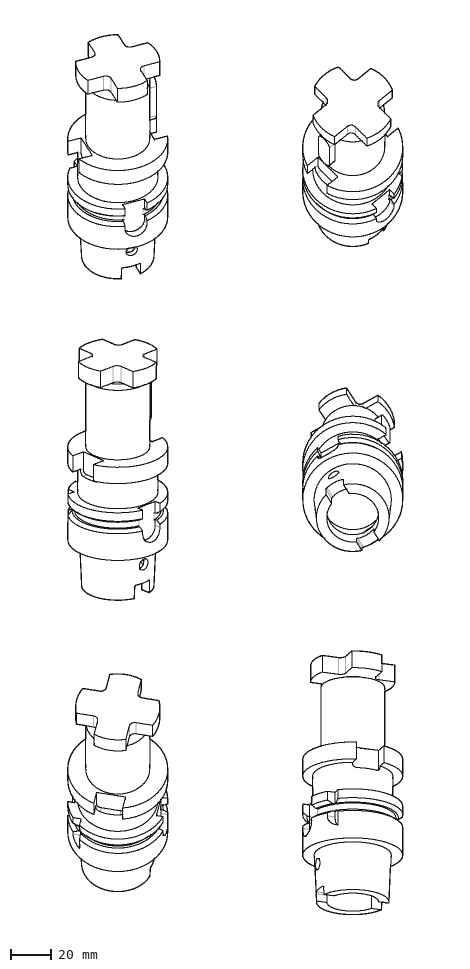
import cadquery as cq

total_height = 126.0
flange_radius = 50.0 / 2

flange_bottom = 25.0
flange_top = 51.0
collar_bottom = 67.0
collar_top = 76.0
pilot_top = 114.0
head_bottom = 117.0

shank_bottom_radius = 18.1
shank_top_radius = 19.3
body_radius = 20.0
pilot_radius = 16.0
neck_radius = 8.5
head_radius = 21.0

bore_radius = 13.0
undercut_radius = 16.0
undercut_bottom = 10.1

groove_radius = 21.5
groove_lip_radius = 22.8
groove_upper_rim = 4.7
groove_upper_lip = 6.2
groove_lower_lip = 10.0
groove_lower_rim = 11.5

flange_slot_width = 11.8
flange_slot_depth = 19.0
drive_slot_floor = 20.9
notch_offset = 15.5

collar_slot_width = 14.7
collar_slot_floor = 16.8
collar_slot_depth = 11.7
collar_slot_corner = 2.3

keyway_width = 10.2
keyway_corner = 0.8
shallow_keyway_height = 4.5
deep_keyway_height = 7.3

cross_hole_height = 17.6
cross_hole_diameter = 5.9

key_width = 8.1
key_bottom = 83.9
key_top = 111.0
key_outer_face = 19.3

head_arm_width = 16.1
head_inner_fillet = 2.8

clearance = 1.3
cut_reach = flange_radius + clearance


def turned_body():
    """Revolved outline from the shank up to the neck under the head."""
    outline = [
        (0, 0),
        (shank_bottom_radius, 0),
        (shank_top_radius, flange_bottom),
        (flange_radius, flange_bottom),
        (flange_radius, flange_top - groove_lower_rim),
        (groove_lip_radius, flange_top - groove_lower_lip),
        (groove_radius, flange_top - groove_lower_lip),
        (groove_radius, flange_top - groove_upper_lip),
        (groove_lip_radius, flange_top - groove_upper_lip),
        (flange_radius, flange_top - groove_upper_rim),
        (flange_radius, flange_top),
        (body_radius, flange_top),
        (body_radius, collar_bottom),
        (flange_radius, collar_bottom),
        (flange_radius, collar_top),
        (pilot_radius, collar_top),
        (pilot_radius, pilot_top),
        (neck_radius, pilot_top),
        (neck_radius, head_bottom),
        (0, head_bottom),
    ]
    return cq.Workplane("XZ").polyline(outline).close().revolve(360, (0, 0, 0), (0, 1, 0))


def cross_head():
    """Four-armed head: two crossed bars trimmed to a disc."""
    thickness = total_height - head_bottom
    base = cq.Workplane("XY").workplane(offset=head_bottom)
    length = 2 * cut_reach
    bars = base.rect(length, head_arm_width).extrude(thickness)
    bars = bars.union(base.rect(head_arm_width, length).extrude(thickness))
    corner_limit = head_arm_width / 2 + clearance
    around_corners = cq.selectors.BoxSelector(
        (-corner_limit, -corner_limit, head_bottom),
        (corner_limit, corner_limit, total_height),
    )
    bars = bars.edges("|Z").edges(around_corners).fillet(head_inner_fillet)
    return bars.intersect(base.circle(head_radius).extrude(thickness))


def feather_key():
    """Round-ended key standing out of the pilot toward +Y."""
    length = key_top - key_bottom
    return (
        cq.Workplane("XZ", origin=(0, 0, (key_top + key_bottom) / 2))
        .slot2D(length, key_width, 90)
        .extrude(-key_outer_face)
    )


def shank_cavity():
    """Entry bore with the wider undercut above it, both ending at the flange."""
    bore = cq.Workplane("XY").circle(bore_radius).extrude(flange_bottom)
    undercut = (
        cq.Workplane("XY", origin=(0, 0, undercut_bottom))
        .circle(undercut_radius)
        .extrude(flange_bottom - undercut_bottom)
    )
    return bore.union(undercut)


def cross_hole():
    """Hole along X through both walls of the shank."""
    return (
        cq.Workplane("YZ", origin=(-cut_reach, 0, cross_hole_height))
        .circle(cross_hole_diameter / 2)
        .extrude(2 * cut_reach)
    )


def flange_slot(floor, center_y):
    """Round-ended slot open toward -X and the flange top, ending at x = -floor."""
    half_width = flange_slot_width / 2
    bottom = flange_top - flange_slot_depth
    return (
        cq.Workplane("YZ", origin=(-cut_reach, center_y, 0))
        .moveTo(-half_width, flange_top)
        .lineTo(-half_width, bottom + half_width)
        .threePointArc((0, bottom), (half_width, bottom + half_width))
        .lineTo(half_width, flange_top)
        .close()
        .extrude(cut_reach - floor)
    )


def collar_slot():
    """Slot through the collar on the -Y side, running a little into the body."""
    return (
        cq.Workplane("XY")
        .box(
            collar_slot_width,
            cut_reach - collar_slot_floor,
            collar_slot_depth,
            centered=(True, False, False),
        )
        .edges("|Y and <Z")
        .fillet(collar_slot_corner)
        .translate((0, -cut_reach, collar_top - collar_slot_depth))
    )


def keyway(height):
    """Keyway in the shank rim on the -X side."""
    return (
        cq.Workplane("XY")
        .box(cut_reach, keyway_width, height, centered=(False, True, False))
        .edges("|X and >Z")
        .fillet(keyway_corner)
        .translate((-cut_reach, 0, 0))
    )


def half_turn(shape):
    """The same shape on the opposite side of the tool axis."""
    return shape.rotate((0, 0, 0), (0, 0, 1), 180)


result = turned_body().union(cross_head()).union(feather_key())

result = result.cut(shank_cavity()).cut(cross_hole())

drive_slot = flange_slot(drive_slot_floor, 0)
notch = flange_slot(notch_offset, -notch_offset - flange_slot_width / 2)
result = result.cut(drive_slot).cut(half_turn(drive_slot)).cut(notch)

result = result.cut(collar_slot()).cut(half_turn(collar_slot()))

result = result.cut(keyway(shallow_keyway_height))
result = result.cut(half_turn(keyway(deep_keyway_height)))